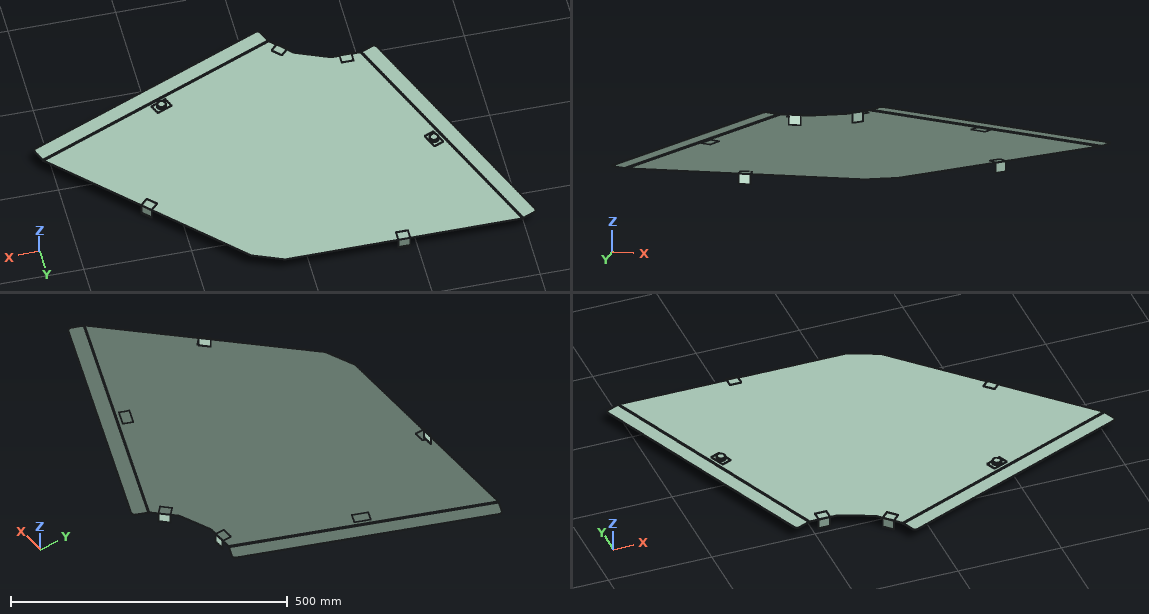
import cadquery as cq
import math


RIM_ANGLE = 22.5
TURN = -RIM_ANGLE

OUTER_CORNER = 439.0
OUTER_FLAT = 31.0
INNER_CORNER = 84.0
INNER_FLAT = 34.0
SHEET = 1.0

FLAP_WIDTH = 32.0
FLAP_CORNER = 7.0
BEAD_WIDTH = 2.0
BEAD_HEIGHT = 2.1
BEAD_STEP = 0.2

CLIP_WIDTH = 22.0
CLIP_REACH = 18.0
CLIP_THICKNESS = 1.3
CLIP_DROP = 19.5
OUTER_CLIP_PLACE = 220.0
INNER_CLIP_PLACE = 28.0

LATCH_LENGTH = 30.5
LATCH_WIDTH = 19.5
LATCH_BASE = 1.3
LATCH_INSET = 17.0
KNOB_DIAMETER = 15.0
KNOB_HEIGHT = 7.0
FOOT_DIAMETER = 18.0
FOOT_HEIGHT = 3.0

RIM_SLOPE = math.tan(math.radians(RIM_ANGLE))
OUTER_FLAT_Y = OUTER_CORNER + (OUTER_CORNER - OUTER_FLAT) * RIM_SLOPE
INNER_FLAT_Y = INNER_CORNER + (INNER_CORNER - INNER_FLAT) * RIM_SLOPE
HINGE_LENGTH = math.sqrt(2) * (OUTER_CORNER - INNER_CORNER)
HINGE_MIDDLE = (OUTER_CORNER + INNER_CORNER) / 2


def hinge_frame(z):
    """Workplane at the middle of the left hinge edge: x along the edge, y away from the panel."""
    plane = cq.Plane(origin=(-HINGE_MIDDLE, HINGE_MIDDLE, z), xDir=(-1, 1, 0), normal=(0, 0, 1))
    return cq.Workplane(plane)


def make_panel():
    left_half = [
        (-INNER_FLAT, INNER_FLAT_Y),
        (-INNER_CORNER, INNER_CORNER),
        (-OUTER_CORNER, OUTER_CORNER),
        (-OUTER_FLAT, OUTER_FLAT_Y),
    ]
    right_half = [(-x, y) for x, y in reversed(left_half)]
    return cq.Workplane().polyline(left_half + right_half).close().extrude(SHEET)


def make_flap():
    """Flat strip along the left hinge edge, with a thicker bead against the panel."""
    sheet = (
        hinge_frame(0)
        .center(0, FLAP_WIDTH / 2)
        .rect(HINGE_LENGTH, FLAP_WIDTH)
        .extrude(SHEET)
        .faces("<(1, 1, 0)")
        .edges("|Z")
        .fillet(FLAP_CORNER)
    )
    bead = (
        hinge_frame(SHEET + BEAD_STEP)
        .center(0, BEAD_WIDTH / 2)
        .rect(HINGE_LENGTH, BEAD_WIDTH)
        .extrude(-BEAD_HEIGHT)
    )
    return sheet.union(bead)


def make_clip(corner, place, faces_inward):
    """L-shaped clip on a left rim edge: one leg on the panel, the other hanging outside the edge."""
    underside = SHEET
    bottom = SHEET - CLIP_DROP
    top = SHEET + CLIP_THICKNESS
    profile = [
        (-CLIP_REACH, underside),
        (0, underside),
        (0, bottom),
        (CLIP_THICKNESS, bottom),
        (CLIP_THICKNESS, top),
        (-CLIP_REACH, top),
    ]
    clip = cq.Workplane("YZ").polyline(profile).close().extrude(CLIP_WIDTH / 2, both=True)
    x = -corner + place * math.cos(math.radians(RIM_ANGLE))
    y = corner + place * math.sin(math.radians(RIM_ANGLE))
    angle = RIM_ANGLE + (180 if faces_inward else 0)
    return clip.rotate((0, 0, 0), (0, 0, 1), angle).translate((x, y, 0))


def make_latch():
    """Base plate on the panel beside the left hinge edge, with a stepped round knob."""
    frame = hinge_frame(SHEET).center(0, -LATCH_INSET)
    base = frame.rect(LATCH_LENGTH, LATCH_WIDTH).extrude(LATCH_BASE)
    foot = frame.circle(FOOT_DIAMETER / 2).extrude(FOOT_HEIGHT)
    knob = frame.circle(KNOB_DIAMETER / 2).extrude(KNOB_HEIGHT)
    return base.union(foot).union(knob)


panel = make_panel()
flap = make_flap()
outer_clip = make_clip(OUTER_CORNER, OUTER_CLIP_PLACE, faces_inward=False)
inner_clip = make_clip(INNER_CORNER, INNER_CLIP_PLACE, faces_inward=True)
latch = make_latch()

bodies = [panel]
for left_body in (flap, outer_clip, inner_clip, latch):
    bodies.append(left_body)
    bodies.append(left_body.mirror("YZ"))

result = cq.Compound.makeCompound(
    [body.rotate((0, 0, 0), (0, 0, 1), TURN).solids().val() for body in bodies]
)